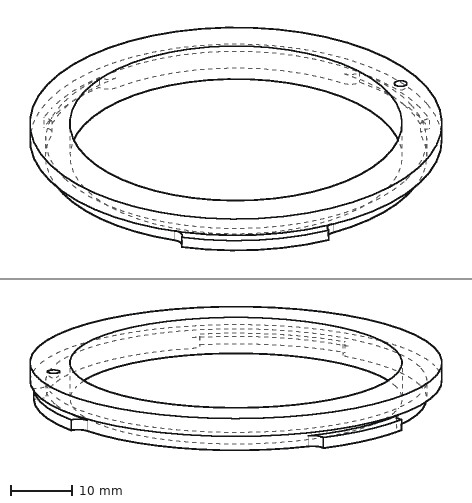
import cadquery as cq
import math

outer_radius = 33.5
bore_radius = 54.0 / 2
neck_radius = 62.0 / 2
total_height = 6.1
flange_height = 3.0

tab_radius = 32.9
tab_height = 1.8
root_fillet = tab_radius - neck_radius
tab_spans = [(80.0, 115.0), (195.2, 224.5), (317.1, 360.0)]

dimple_radius = 1.0
dimple_center_y = 30.15


def polar(radius, degrees):
    angle = math.radians(degrees)
    return (radius * math.cos(angle), radius * math.sin(angle))


def ring(radius, height, base_z):
    disc = cq.Workplane("XY").workplane(offset=base_z)
    return disc.circle(radius).circle(bore_radius).extrude(height)


def fillet_middle(corner_angle, center_angle):
    """Middle of the concave arc joining a tab's end to the neck."""
    center_x, center_y = polar(tab_radius, center_angle)
    corner_x, corner_y = polar(tab_radius, corner_angle)
    foot_x, foot_y = polar(neck_radius, center_angle)
    toward_x = corner_x + foot_x - 2 * center_x
    toward_y = corner_y + foot_y - 2 * center_y
    reach = root_fillet / math.hypot(toward_x, toward_y)
    return (center_x + toward_x * reach, center_y + toward_y * reach)


def bayonet_tab(start, end):
    """Tab whose ends are hollow arcs centred on the tab's outer circle and tangent to the neck."""
    flare = math.degrees(2 * math.asin(root_fillet / (2 * tab_radius)))
    foot_start = start - flare
    foot_end = end + flare
    return (
        cq.Workplane("XY")
        .moveTo(*polar(bore_radius, foot_start))
        .lineTo(*polar(neck_radius, foot_start))
        .threePointArc(fillet_middle(start, foot_start), polar(tab_radius, start))
        .threePointArc(polar(tab_radius, (start + end) / 2), polar(tab_radius, end))
        .threePointArc(fillet_middle(end, foot_end), polar(neck_radius, foot_end))
        .lineTo(*polar(bore_radius, foot_end))
        .threePointArc(polar(bore_radius, (start + end) / 2), polar(bore_radius, foot_start))
        .close()
        .extrude(tab_height)
    )


def index_dimple():
    center = (0, dimple_center_y, total_height)
    return cq.Workplane("XY").sphere(dimple_radius).translate(center)


neck_height = total_height - flange_height
result = ring(neck_radius, neck_height, 0)
result = result.union(ring(outer_radius, flange_height, neck_height))
for tab_start, tab_end in tab_spans:
    result = result.union(bayonet_tab(tab_start, tab_end))
result = result.cut(index_dimple())